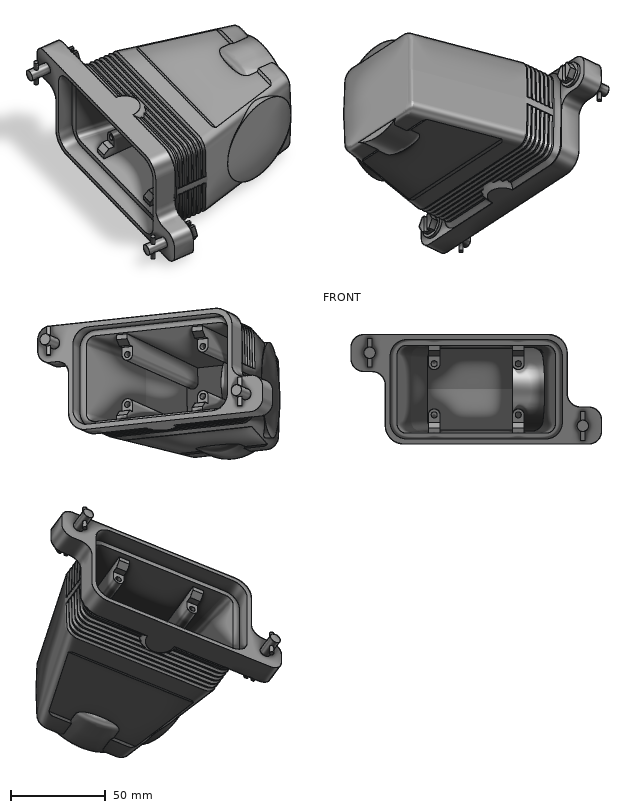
import cadquery as cq
import math


FLANGE_X, FLANGE_Z, FLANGE_T = 96.2, 58.0, 12.0
FLANGE_R = 10.0
EAR_TIP_X = 66.25
EAR_W = 19.7
EAR_R = 7.0

BODY_HALF_X, BODY_HALF_Z = 45.2, 26.5
BODY_START_Y = 8.0
BAND_TOP_Y = 34.6
BODY_TOP_Y = 99.9
SIDE_SLOPE = 0.272
DRAFT = 1.3
BODY_EDGE_R = 7.0
TOP_EDGE_R = 2.9
FLARE_H, FLARE_OUT = 2.9, 2.3

PANEL_Y0, PANEL_Y1 = 43.2, 88.6
PANEL_STEP = 1.6
PANEL_DEPTH = 0.6

GROOVE_COUNT, GROOVE_PITCH = 6, 2.95
GROOVE_FIRST_Y = 17.4
GROOVE_DEPTH, GROOVE_W = 0.8, 2.8
PLAIN_STRIP_Z = 4.6
CUTTER_MARGIN = 2.0

BOSS_R, BOSS_Y0, BOSS_Y1 = 29.0, 76.7, 99.1
BOSS_HALF_X = 15.0
BOSS_EDGE_R = 5.3
BUMP_R, BUMP_SINK = 8.1, 3.4

PLUG_R, PLUG_Y = 24.0, 75.0
PAD_R, PAD_Y, PAD_DEPTH = 25.3, 74.5, 5.0
PLUG_INNER_X = 19.1

SEAL_X, SEAL_Z, SEAL_DEPTH, SEAL_R = 91.0, 52.6, 8.6, 9.0
MOUTH_HALF_X, MOUTH_HALF_Z = 41.8, 23.2
KNEE_HALF_X, KNEE_Y = 34.2, 65.0
FLOOR_HALF_X, FLOOR_HALF_Z = 25.7, 21.5
FLOOR_EDGE_Y, FLOOR_RIDGE_Y = 95.5, 96.7
CAVITY_R = 5.0

POST_X, POST_Z, POST_R = 22.2, 13.5, 3.1
POST_FACE_Y = 17.8
POST_HOLE_D, POST_HOLE_DEPTH = 3.2, 10.0
FOOT_FRONT_Y, FOOT_SLOPE_Y = 11.4, 14.5
FOOT_LOW_Z, FOOT_HIGH_Z = 20.5, 17.6
POST_ROOT_EMBED = 0.8
POST_ROOT_Z = MOUTH_HALF_Z + POST_ROOT_EMBED

SCREW_X, SCREW_Z = 56.3, 19.3
SHANK_D, SHANK_TIP_Y = 6.0, -11.3
WASHER_D, WASHER_T = 13.7, 1.6
HEAD_CORNERS, HEAD_H = 10.8, 3.9
SLOT_W, SLOT_DEPTH = 2.2, 2.0
CROSS_PIN_D, CROSS_PIN_L, CROSS_PIN_Y = 2.3, 15.3, -7.1


def along_y(y):
    """Sketch plane at height y; +Y is its normal, its local y axis is -Z."""
    return cq.Workplane(cq.Plane(origin=(0, y, 0), xDir=(1, 0, 0), normal=(0, 1, 0)))


def block(x0, x1, y0, y1, z0, z1):
    return cq.Workplane("XY").box(x1 - x0, y1 - y0, z1 - z0, centered=False).translate((x0, y0, z0))


def half_x_at(y):
    """Half width of the tapered hood, measured on the parting plane."""
    return BODY_HALF_X - SIDE_SLOPE * max(0, y - BAND_TOP_Y)


def mirrored_z(solid):
    return solid.union(solid.mirror("XY"))


def make_flange():
    main = along_y(0).rect(FLANGE_X, FLANGE_Z).extrude(FLANGE_T).edges("|Y").fillet(FLANGE_R)
    ear_z = FLANGE_Z / 2 - EAR_W
    inner_x = FLANGE_X / 2
    root_x = inner_x - 2 * FLANGE_R
    ear = block(-EAR_TIP_X, -root_x, 0, FLANGE_T, ear_z, FLANGE_Z / 2)
    ear = ear.edges("|Y and <X").fillet(EAR_R)
    corner = block(-inner_x - EAR_R, -inner_x, 0, FLANGE_T, ear_z - EAR_R, ear_z)
    round_cut = (
        along_y(0).center(-inner_x - EAR_R, EAR_R - ear_z).circle(EAR_R).extrude(FLANGE_T)
    )
    ear = ear.union(corner.cut(round_cut))
    return main.union(ear).union(ear.rotate((0, 0, 0), (0, 1, 0), 180))


def make_body():
    top_x = half_x_at(BODY_TOP_Y)
    outline = [
        (-BODY_HALF_X, BODY_START_Y),
        (BODY_HALF_X, BODY_START_Y),
        (BODY_HALF_X, BAND_TOP_Y),
        (top_x, BODY_TOP_Y),
        (-top_x, BODY_TOP_Y),
        (-BODY_HALF_X, BAND_TOP_Y),
    ]
    half = cq.Workplane("XY").polyline(outline).close().extrude(BODY_HALF_Z, taper=DRAFT)
    half = half.faces(">Z").edges("not |X").fillet(BODY_EDGE_R)
    half = half.faces(">Y").edges("not <Z").fillet(TOP_EDGE_R)
    return mirrored_z(half)


def band_section(inset=0):
    """Section of the ribbed band: a rounded rectangle with drafted short sides."""
    half_x = BODY_HALF_X - inset
    half_z = BODY_HALF_Z - inset
    corner_x = half_x - half_z * math.tan(math.radians(DRAFT))
    points = [
        (half_x, 0),
        (corner_x, half_z),
        (-corner_x, half_z),
        (-half_x, 0),
        (-corner_x, -half_z),
        (corner_x, -half_z),
        (half_x, 0),
    ]
    return cq.Sketch().polygon(points).vertices(">Y or <Y").fillet(BODY_EDGE_R - inset)


def make_flare():
    angle = math.degrees(math.atan2(FLARE_OUT, FLARE_H))
    flare = cq.Workplane("XZ", origin=(0, FLANGE_T + FLARE_H, 0))
    return flare.placeSketch(band_section()).extrude(FLARE_H, taper=-angle)


def make_groove(y):
    """Ring cutter with a V section whose deepest line lies at height y."""
    half_w = GROOVE_W / 2
    angle = math.degrees(math.atan2(GROOVE_DEPTH, half_w))
    waist = cq.Workplane("XZ", origin=(0, y, 0)).placeSketch(band_section(GROOVE_DEPTH))
    core = waist.extrude(half_w, taper=-angle)
    core = core.union(core.mirror("XZ", (0, y, 0)))
    ring = along_y(y - half_w).rect(2 * BODY_HALF_X + CUTTER_MARGIN, 2 * BODY_HALF_Z + CUTTER_MARGIN)
    ring = ring.extrude(GROOVE_W).cut(core)
    strip = along_y(y - half_w).rect(4 * BODY_HALF_X, PLAIN_STRIP_Z).extrude(GROOVE_W)
    return ring.cut(strip)


def make_panel_cut():
    floor_z = BODY_HALF_Z - PANEL_DEPTH
    profile = [
        (PANEL_Y0, BODY_HALF_Z),
        (PANEL_Y0 + PANEL_STEP, floor_z),
        (PANEL_Y1 - PANEL_STEP, floor_z),
        (PANEL_Y1, BODY_HALF_Z),
    ]
    cut = cq.Workplane("YZ").polyline(profile).close().extrude(BODY_HALF_X, both=True)
    return mirrored_z(cut)


def make_end_boss():
    boss = along_y(BOSS_Y0).circle(BOSS_R).extrude(BOSS_Y1 - BOSS_Y0)
    boss = boss.faces("<Y").edges().fillet(BOSS_EDGE_R)
    return boss.intersect(block(-BOSS_HALF_X, BOSS_HALF_X, BOSS_Y0, BOSS_Y1, -BOSS_R, BOSS_R))


def make_bumps():
    face_z = FLANGE_Z / 2
    base = cq.Vector(0, FLANGE_T, face_z - BUMP_SINK)
    cone = cq.Solid.makeCone(BUMP_R + BUMP_SINK, BUMP_R, BUMP_SINK, base, cq.Vector(0, 0, 1))
    return mirrored_z(cq.Workplane(cone))


def side_cylinder(radius, y, length):
    """Cylinder square to the sloping +X wall, running inward from its parting line."""
    angle = math.atan(SIDE_SLOPE)
    outward = cq.Vector(math.cos(angle), math.sin(angle), 0)
    outer = cq.Vector(half_x_at(y), y, 0)
    return cq.Workplane(cq.Solid.makeCylinder(radius, length, outer, outward * -1))


def make_pad():
    return side_cylinder(PAD_R, PAD_Y, PAD_DEPTH)


def make_plug():
    """Solid plug that ends in a flat face inside the cavity."""
    plug = side_cylinder(PLUG_R, PLUG_Y, 2 * PLUG_R)
    inside = block(PLUG_INNER_X, BODY_HALF_X, 0, FLOOR_RIDGE_Y, -PLUG_R, PLUG_R)
    return plug.intersect(inside)


def make_cavity():
    plan = [
        (-MOUTH_HALF_X, 0),
        (MOUTH_HALF_X, 0),
        (MOUTH_HALF_X, SEAL_DEPTH),
        (KNEE_HALF_X, KNEE_Y),
        (FLOOR_HALF_X, FLOOR_EDGE_Y),
        (FLOOR_HALF_X, BODY_TOP_Y),
        (-FLOOR_HALF_X, BODY_TOP_Y),
        (-FLOOR_HALF_X, FLOOR_EDGE_Y),
        (-KNEE_HALF_X, KNEE_Y),
        (-MOUTH_HALF_X, SEAL_DEPTH),
    ]
    section = [
        (0, -MOUTH_HALF_Z),
        (SEAL_DEPTH, -MOUTH_HALF_Z),
        (FLOOR_EDGE_Y, -FLOOR_HALF_Z),
        (FLOOR_RIDGE_Y, 0),
        (FLOOR_EDGE_Y, FLOOR_HALF_Z),
        (SEAL_DEPTH, MOUTH_HALF_Z),
        (0, MOUTH_HALF_Z),
    ]
    cavity = cq.Workplane("XY").polyline(plan).close().extrude(MOUTH_HALF_Z, both=True)
    cavity = cavity.intersect(cq.Workplane("YZ").polyline(section).close().extrude(MOUTH_HALF_X, both=True))
    reach = 2 * MOUTH_HALF_X
    below_end = cq.selectors.BoxSelector((-reach, 0, -reach), (reach, FLOOR_EDGE_Y, reach))
    cavity = cavity.edges(below_end).edges("not(|Z or |X)").fillet(CAVITY_R)
    seal = along_y(0).rect(SEAL_X, SEAL_Z).extrude(SEAL_DEPTH).edges("|Y").fillet(SEAL_R)
    return cavity.union(seal)


def make_post():
    """Post in the +X, +Z corner, with a sloped foot along the wall."""
    length = FLOOR_RIDGE_Y - POST_FACE_Y
    post = along_y(POST_FACE_Y).center(POST_X, -POST_Z).circle(POST_R).extrude(length)
    web = block(POST_X - POST_R, POST_X + POST_R, POST_FACE_Y, FLOOR_RIDGE_Y, POST_Z, POST_ROOT_Z)
    foot_profile = [
        (FOOT_FRONT_Y, POST_ROOT_Z),
        (FOOT_FRONT_Y, FOOT_LOW_Z),
        (FOOT_SLOPE_Y, FOOT_HIGH_Z),
        (POST_FACE_Y, FOOT_HIGH_Z),
        (POST_FACE_Y, POST_ROOT_Z),
    ]
    foot = cq.Workplane("YZ", origin=(POST_X - POST_R, 0, 0)).polyline(foot_profile).close()
    return post.union(web).union(foot.extrude(2 * POST_R))


def make_post_hole():
    hole = along_y(POST_FACE_Y).center(POST_X, -POST_Z)
    return hole.circle(POST_HOLE_D / 2).extrude(POST_HOLE_DEPTH)


def in_four_corners(solid):
    pair = solid.union(solid.mirror("YZ"))
    return mirrored_z(pair)


def make_screw():
    """Captive screw on the Y axis, with washer, slotted hexagon head and cross pin."""
    washer_top = FLANGE_T + WASHER_T
    head_top = washer_top + HEAD_H
    shank = along_y(SHANK_TIP_Y).circle(SHANK_D / 2).extrude(FLANGE_T - SHANK_TIP_Y)
    washer = along_y(FLANGE_T).circle(WASHER_D / 2).extrude(WASHER_T)
    head = along_y(washer_top).polygon(6, HEAD_CORNERS).extrude(HEAD_H)
    slot = along_y(head_top - SLOT_DEPTH).rect(SLOT_W, 2 * HEAD_CORNERS).extrude(SLOT_DEPTH)
    pin = cq.Workplane("XY").center(0, CROSS_PIN_Y).circle(CROSS_PIN_D / 2)
    pin = pin.extrude(CROSS_PIN_L / 2, both=True)
    return shank.union(washer).union(head.cut(slot)).union(pin)


hood = make_body().cut(make_panel_cut())
for index in range(GROOVE_COUNT):
    hood = hood.cut(make_groove(GROOVE_FIRST_Y + index * GROOVE_PITCH))
for outer_part in (make_flare(), make_flange(), make_end_boss(), make_bumps(), make_pad()):
    hood = hood.union(outer_part)
hood = hood.cut(make_cavity())
hood = hood.union(make_plug()).union(in_four_corners(make_post())).cut(in_four_corners(make_post_hole()))
screw = make_screw()
for side in (-1, 1):
    hood = hood.union(screw.translate((side * SCREW_X, 0, -side * SCREW_Z)))

result = hood